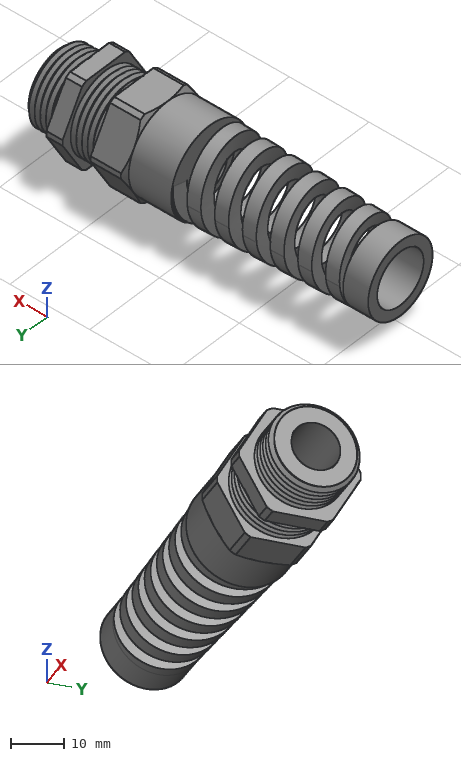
import cadquery as cq
import math

thread_pitch = 1.41
thread_depth = 0.86
cap_thread_radius = 10.05
cap_thread_ridges = 5
entry_thread_radius = 9.3
entry_thread_ridges = 5

cuff_end = 6.3
sleeve_start = 47.8
nut_start = 58.4
nut_end = 66.8
collar_start = nut_end + cap_thread_ridges * thread_pitch
collar_end = 77.9
total_length = 85.85

across_flats = 22.1
across_corners = 24.75
corner_radius = across_corners / 2
sleeve_radius = across_flats / 2
nut_chamfer_length = 0.8

cuff_radius = 9.25
spring_end_radius = 10.7
spring_bore_radius = 6.65
spring_pitch = 6.74
coil_width = spring_pitch / 2
coil_start = 3.72
coil_turns = 6.8
coil_overlap = 1.0

cable_bore_radius = 5.0


def along_x(shape):
    """Turn a shape built along Z so that its axis runs along X."""
    return shape.rotate((0, 0, 0), (0, 1, 0), 90)


def disc(start, end, radius):
    return cq.Workplane("YZ", origin=(start, 0, 0)).circle(radius).extrude(end - start)


def revolve_profile(points):
    """Revolve an (x, radius) outline about the X axis."""
    return cq.Workplane("XY").polyline(points).close().revolve(360, (0, 0, 0), (1, 0, 0))


def hexagon(start, end):
    """Hexagonal prism with flats facing +Z and -Z and rounded-off corners."""
    sharp_corners = across_flats / math.cos(math.radians(30))
    prism = cq.Workplane("YZ", origin=(start, 0, 0)).polygon(6, sharp_corners).extrude(end - start)
    return prism.intersect(disc(start, end, corner_radius))


def spring():
    """Helical coil trimmed to a tube whose outside widens towards the sleeve."""
    section_inner = spring_bore_radius - coil_overlap
    section_outer = spring_end_radius + coil_overlap
    section_middle = (section_inner + section_outer) / 2
    helix = cq.Wire.makeHelix(spring_pitch, spring_pitch * coil_turns, section_middle)
    coil = (
        cq.Workplane("XZ")
        .center(section_middle, 0)
        .rect(section_outer - section_inner, coil_width)
        .sweep(cq.Workplane(helix), isFrenet=True)
    )
    tube = revolve_profile([
        (cuff_end, spring_bore_radius),
        (cuff_end, cuff_radius),
        (sleeve_start, spring_end_radius),
        (sleeve_start, spring_bore_radius),
    ])
    coil = along_x(coil).rotate((0, 0, 0), (1, 0, 0), 180).translate((coil_start, 0, 0))
    return coil.intersect(tube)


def cuff():
    return disc(0, cuff_end, cuff_radius).cut(disc(0, cuff_end, spring_bore_radius))


def cap_nut():
    """Round sleeve running into a hexagon with a conical chamfer."""
    chamfer_envelope = revolve_profile([
        (nut_start, 0),
        (nut_start, sleeve_radius),
        (nut_start + nut_chamfer_length, corner_radius),
        (nut_end, corner_radius),
        (nut_end, 0),
    ])
    nut = hexagon(nut_start, nut_end).intersect(chamfer_envelope)
    return disc(sleeve_start, nut_start, sleeve_radius).union(nut)


def thread(start, end, crest_radius, ridge_count):
    """Core with V-shaped ridges, starting with a full-height crest at `start`."""
    root_radius = crest_radius - thread_depth
    half_pitch = thread_pitch / 2
    points = [(start, 0), (start, crest_radius)]
    for ridge in range(ridge_count):
        groove = start + ridge * thread_pitch + half_pitch
        points.append((groove, root_radius))
        points.append((groove + half_pitch, crest_radius))
    last_crest = start + ridge_count * thread_pitch
    if end - last_crest > half_pitch:
        points.append((last_crest + half_pitch, root_radius))
        points.append((end, root_radius))
    points.append((end, 0))
    return revolve_profile(points)


body = (
    cap_nut()
    .union(thread(nut_end, collar_start, cap_thread_radius, cap_thread_ridges))
    .union(hexagon(collar_start, collar_end))
    .union(thread(collar_end, total_length, entry_thread_radius, entry_thread_ridges))
    .cut(disc(sleeve_start, total_length, cable_bore_radius))
)

result = body.union(spring()).union(cuff())